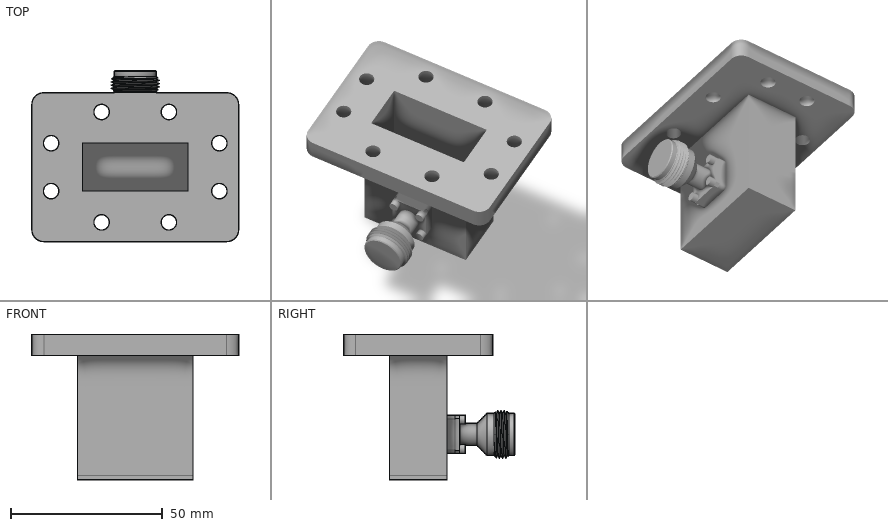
import cadquery as cq

FLANGE_X = 68.3
FLANGE_Y = 49.2
FLANGE_THICKNESS = 7.0
FLANGE_CORNER_RADIUS = 4.0

BOLT_DIAMETER = 5.0
LONG_EDGE_BOLT_SPACING = (22.2, 36.4)
SHORT_EDGE_BOLT_SPACING = (55.5, 15.8)

TOTAL_HEIGHT = 48.0
CAVITY_X = 34.85
CAVITY_Y = 15.8
WALL = 1.625
BODY_X = CAVITY_X + 2 * WALL
BODY_Y = CAVITY_Y + 2 * WALL
COVER_THICKNESS = 1.5

CONNECTOR_Z = 15.0
OVERALL_Y = 56.5
CONNECTOR_LENGTH = OVERALL_Y - FLANGE_Y / 2 - BODY_Y / 2

BASE_SIDE = 12.7
BASE_THICKNESS = 2.54
BASE_CORNER_RADIUS = 1.27
PLATE_THICKNESS = 1.52
PLATE_CORNER_CHAMFER = 1.08
PLATE_TOP = BASE_THICKNESS + PLATE_THICKNESS
SCREW_HEAD_DIAMETER = 3.0
SCREW_HEAD_HEIGHT = 2.0
SCREW_SPACING = BASE_SIDE - SCREW_HEAD_DIAMETER

NECK_DIAMETER = 7.37
NECK_RELIEF_DIAMETER = 7.11
NECK_RELIEF_WIDTH = 0.25
NECK_END = 9.85
BARREL_DIAMETER = 13.97
BARREL_CHAMFER = 0.3

THREAD_DIAMETER = 15.875
INCH = 25.4
THREADS_PER_INCH = 24
THREAD_PITCH = INCH / THREADS_PER_INCH
THREAD_START = 15.4
THREAD_END = 20.5
THREAD_EMBED = 0.1
THREAD_BASE_FILL = 0.96
ENVELOPE_MARGIN = 0.5


def make_flange():
    """Rounded plate with its eight bolt holes."""
    flange = (
        cq.Workplane("XY")
        .workplane(offset=TOTAL_HEIGHT - FLANGE_THICKNESS)
        .rect(FLANGE_X, FLANGE_Y)
        .extrude(FLANGE_THICKNESS)
        .edges("|Z")
        .fillet(FLANGE_CORNER_RADIUS)
    )
    for spacing_x, spacing_y in (LONG_EDGE_BOLT_SPACING, SHORT_EDGE_BOLT_SPACING):
        flange = (
            flange.faces(">Z")
            .workplane(origin=(0, 0, TOTAL_HEIGHT))
            .rect(spacing_x, spacing_y, forConstruction=True)
            .vertices()
            .hole(BOLT_DIAMETER)
        )
    return flange


def block(size_x, size_y, bottom, top):
    """Box centred on the Z axis between two heights."""
    return cq.Workplane("XY").workplane(offset=bottom).rect(size_x, size_y).extrude(top - bottom)


def make_connector_mount():
    """Rounded base, corner-cut plate and four screw heads, stacked along +Z."""
    base = (
        cq.Workplane("XY")
        .rect(BASE_SIDE, BASE_SIDE)
        .extrude(BASE_THICKNESS)
        .edges("|Z")
        .fillet(BASE_CORNER_RADIUS)
    )
    plate = block(BASE_SIDE, BASE_SIDE, BASE_THICKNESS, PLATE_TOP).edges("|Z").chamfer(PLATE_CORNER_CHAMFER)
    screw_heads = (
        cq.Workplane("XY")
        .workplane(offset=PLATE_TOP)
        .rect(SCREW_SPACING, SCREW_SPACING, forConstruction=True)
        .vertices()
        .circle(SCREW_HEAD_DIAMETER / 2)
        .extrude(SCREW_HEAD_HEIGHT)
    )
    return base.union(plate, clean=False).union(screw_heads, clean=False)


def make_barrel():
    """Neck, 45 degree cone and barrel, revolved about the Z axis."""
    neck_radius = NECK_DIAMETER / 2
    relief_radius = NECK_RELIEF_DIAMETER / 2
    barrel_radius = BARREL_DIAMETER / 2
    relief_end = PLATE_TOP + NECK_RELIEF_WIDTH
    cone_end = NECK_END + barrel_radius - neck_radius
    return (
        cq.Workplane("XZ")
        .moveTo(0, BASE_THICKNESS)
        .lineTo(relief_radius, BASE_THICKNESS)
        .lineTo(relief_radius, relief_end)
        .lineTo(neck_radius, relief_end)
        .lineTo(neck_radius, NECK_END)
        .lineTo(barrel_radius, cone_end)
        .lineTo(barrel_radius, CONNECTOR_LENGTH - BARREL_CHAMFER)
        .lineTo(barrel_radius - BARREL_CHAMFER, CONNECTOR_LENGTH)
        .lineTo(0, CONNECTOR_LENGTH)
        .close()
        .revolve(360, (0, 0, 0), (0, 1, 0))
    )


def make_thread():
    """Helical V ridge trimmed to an envelope with 45 degree tapered ends."""
    root_radius = BARREL_DIAMETER / 2 - THREAD_EMBED
    crest_radius = THREAD_DIAMETER / 2
    crest_rise = crest_radius - root_radius + ENVELOPE_MARGIN
    half_base = THREAD_PITCH * THREAD_BASE_FILL / 2
    helix_start = THREAD_START - THREAD_PITCH / 2
    helix_height = THREAD_END - THREAD_START + THREAD_PITCH
    helix = cq.Wire.makeHelix(THREAD_PITCH, helix_height, root_radius, center=cq.Vector(0, 0, helix_start))
    ridge = (
        cq.Workplane("XZ")
        .moveTo(root_radius, helix_start - half_base)
        .lineTo(crest_radius, helix_start)
        .lineTo(root_radius, helix_start + half_base)
        .close()
        .sweep(cq.Workplane(helix), isFrenet=True)
    )
    envelope = (
        cq.Workplane("XZ")
        .moveTo(root_radius - ENVELOPE_MARGIN, THREAD_START - ENVELOPE_MARGIN)
        .lineTo(crest_radius + ENVELOPE_MARGIN, THREAD_START + crest_rise)
        .lineTo(crest_radius + ENVELOPE_MARGIN, THREAD_END - crest_rise)
        .lineTo(root_radius - ENVELOPE_MARGIN, THREAD_END + ENVELOPE_MARGIN)
        .close()
        .revolve(360, (0, 0, 0), (0, 1, 0))
    )
    return ridge.intersect(envelope)


def make_connector():
    """Connector built along +Z, then turned to point along +Y from the body face."""
    barrel = make_barrel().union(make_thread())
    connector = make_connector_mount().union(barrel, clean=False)
    return connector.rotate((0, 0, 0), (1, 0, 0), -90).translate((0, BODY_Y / 2, CONNECTOR_Z))


tube = block(BODY_X, BODY_Y, COVER_THICKNESS, TOTAL_HEIGHT)
cavity = block(CAVITY_X, CAVITY_Y, COVER_THICKNESS, TOTAL_HEIGHT)
cover = block(BODY_X, BODY_Y, 0, COVER_THICKNESS)

housing = make_flange().union(tube).cut(cavity)
result = housing.union(cover, clean=False).union(make_connector(), clean=False)